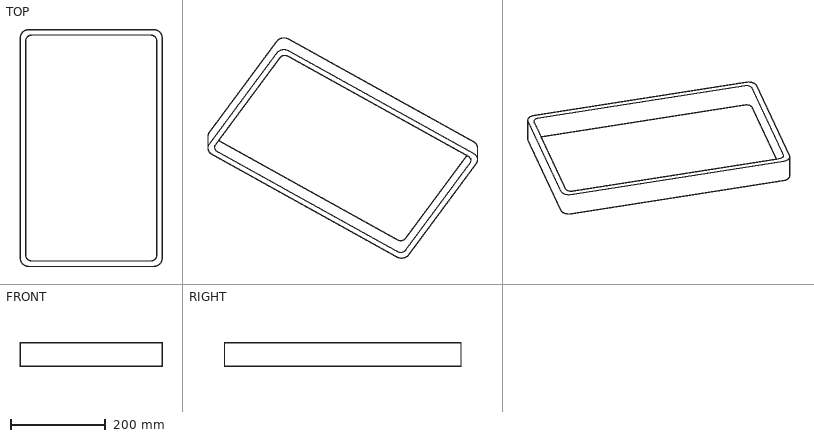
import cadquery as cq

width = 300.0
length = 500.0
height = 50.0
wall = 12.0
outer_radius = 18.0
inner_radius = 12.0


def rounded_block(size_x, size_y, corner_radius):
    """Block standing on the XY plane with rounded vertical edges."""
    block = cq.Workplane("XY").box(size_x, size_y, height, centered=(True, True, False))
    return block.edges("|Z").fillet(corner_radius)


outer = rounded_block(width, length, outer_radius)
opening = rounded_block(width - 2 * wall, length - 2 * wall, inner_radius)

result = outer.cut(opening)